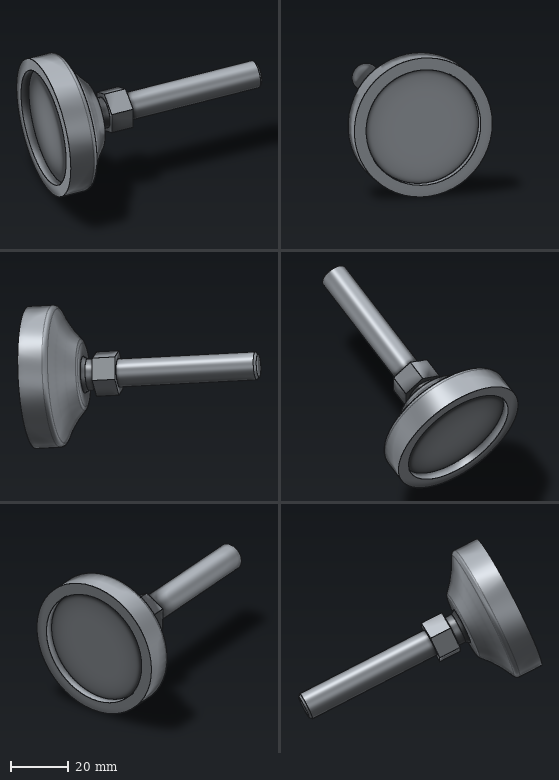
import cadquery as cq
import math

total_length = 81.0

foot_radius = 50.0 / 2
rim_height = 8.75
shoulder_height = 10.45
shoulder_radius = 23.65
flank_top_height = 18.15
flank_top_radius = 12.6
flank_sag = 0.6
foot_height = 18.55
top_face_radius = 11.2
recess_radius = 41.5 / 2
recess_depth = 3.0

neck_radius = 11.0 / 2
flare_radius = 6.5
flare_top = 20.0

hex_across_flats = 14.0
hex_bottom = 22.9
hex_height = 8.1
hex_top = hex_bottom + hex_height
stud_radius = 10.0 / 2
stud_chamfer = 0.9


def make_turned_body():
    """Foot, neck and stud as one profile of (radius, height) turned about Y."""
    flank_run = shoulder_radius - flank_top_radius
    flank_rise = flank_top_height - shoulder_height
    flank_length = math.hypot(flank_run, flank_rise)
    flank_middle = (
        (shoulder_radius + flank_top_radius) / 2 - flank_sag * flank_rise / flank_length,
        (shoulder_height + flank_top_height) / 2 - flank_sag * flank_run / flank_length,
    )
    edge_run = flank_top_radius - top_face_radius
    edge_rise = foot_height - flank_top_height
    edge_radius = (edge_run**2 + edge_rise**2) / (2 * edge_rise)
    profile = (
        cq.Workplane("XY")
        .moveTo(0, recess_depth)
        .lineTo(recess_radius, recess_depth)
        .lineTo(recess_radius, 0)
        .lineTo(foot_radius, 0)
        .lineTo(foot_radius, rim_height)
        .tangentArcPoint((shoulder_radius, shoulder_height), relative=False)
        .threePointArc(flank_middle, (flank_top_radius, flank_top_height))
        .radiusArc((top_face_radius, foot_height), -edge_radius)
        .lineTo(flare_radius, foot_height)
        .lineTo(neck_radius, flare_top)
        .lineTo(neck_radius, hex_bottom)
        .lineTo(stud_radius, hex_bottom)
        .lineTo(stud_radius, total_length - stud_chamfer)
        .lineTo(stud_radius - stud_chamfer, total_length)
        .lineTo(0, total_length)
        .close()
    )
    return profile.revolve(360, (0, 0, 0), (0, 1, 0))


def make_hexagon():
    """Wrench hexagon with two flats facing +X and -X."""
    across_corners = hex_across_flats / math.cos(math.radians(30))
    return (
        cq.Workplane("XZ", origin=(0, hex_top, 0))
        .transformed(rotate=(0, 0, 90))
        .polygon(6, across_corners)
        .extrude(hex_height)
    )


result = make_turned_body().union(make_hexagon())